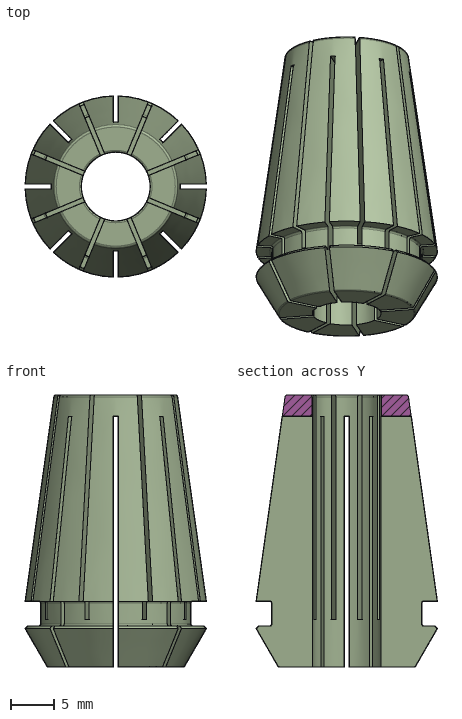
import cadquery as cq
import math

height = 31.5
max_radius = 10.5
bore_diameter = 7.95

body_angle = math.radians(8)
nose_angle = math.radians(30)

rim_z = 4.47
rim_chamfer = 0.3
groove_bottom = rim_z + rim_chamfer
groove_top = 7.62
groove_radius = 8.7

top_fillet = 0.28
bore_fillet = 0.22
groove_fillet = 0.22
nose_fillet = 0.2

slit_width = 0.55
slits_per_set = 8
lower_slit_end = 29.0
upper_slit_end = 5.5

bore_radius = bore_diameter / 2
nose_radius = max_radius - rim_z * math.tan(nose_angle)
top_radius = max_radius - (height - groove_top) * math.tan(body_angle)


def collet_blank():
    """Revolved body with the bore, the tapers and the groove."""
    blank = (
        cq.Workplane("XZ")
        .moveTo(bore_radius, 0)
        .lineTo(nose_radius, 0)
        .lineTo(max_radius, rim_z)
        .lineTo(max_radius - rim_chamfer, groove_bottom)
        .lineTo(groove_radius, groove_bottom)
        .lineTo(groove_radius, groove_top)
        .lineTo(max_radius, groove_top)
        .lineTo(top_radius, height)
        .lineTo(bore_radius, height)
        .close()
        .revolve(360, (0, 0, 0), (0, 1, 0))
    )
    innermost = cq.selectors.RadiusNthSelector(0)
    outermost = cq.selectors.RadiusNthSelector(-1)
    blank = blank.faces(">Z").edges(innermost).fillet(bore_fillet)
    blank = blank.faces(">Z").edges(outermost).fillet(top_fillet)
    blank = blank.faces("<Z").edges(outermost).fillet(nose_fillet)
    neck_corners = blank.edges("%CIRCLE").filter(
        lambda edge: math.isclose(edge.radius(), groove_radius)
    )
    return neck_corners.fillet(groove_fillet)


def slit_set(bottom, top, start_angle):
    """Radial slits from the axis outwards, evenly spaced around it."""
    pitch_angle = 360 / slits_per_set
    slits = cq.Workplane("XY")
    for index in range(slits_per_set):
        slit = (
            cq.Workplane("XY")
            .workplane(offset=bottom)
            .center(max_radius, 0)
            .rect(2 * max_radius, slit_width)
            .extrude(top - bottom)
            .rotate((0, 0, 0), (0, 0, 1), start_angle + index * pitch_angle)
        )
        slits = slits.union(slit)
    return slits


lower_slits = slit_set(0, lower_slit_end, 0)
upper_slits = slit_set(upper_slit_end, height, 180 / slits_per_set)

result = collet_blank().cut(lower_slits).cut(upper_slits)